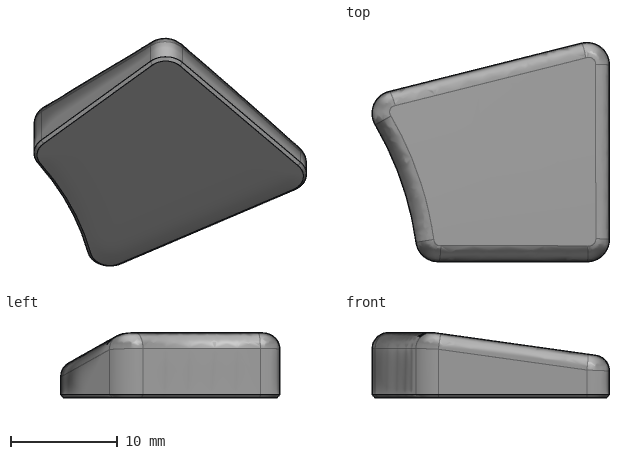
import cadquery as cq
import math

length = 22.25
width = 20.57
corner_radius = 4.25 / 2
rear_edge_angle = math.radians(14.1)

axis_x = -25.22
axis_y = -2.18
concave_radius = 29.6

peak_height = 6.12
top_slope = math.radians(8.0)
top_fillet = 1.5
bottom_chamfer = 0.3


def wall_point(angle):
    """Point of the concave wall at the given angle about its axis."""
    return (
        axis_x + concave_radius * math.cos(angle),
        axis_y + concave_radius * math.sin(angle),
    )


def make_outline_prism(height):
    """Four-sided block with one concave wall and rounded vertical edges."""
    touch_x = length - corner_radius - corner_radius * math.sin(rear_edge_angle)
    touch_y = width - corner_radius + corner_radius * math.cos(rear_edge_angle)
    rear_right_y = touch_y + (length - touch_x) * math.tan(rear_edge_angle)

    front_angle = math.asin(-axis_y / concave_radius)
    axis_to_rear_edge = (
        (touch_y - axis_y) * math.cos(rear_edge_angle)
        - (touch_x - axis_x) * math.sin(rear_edge_angle)
    )
    rear_angle = rear_edge_angle + math.asin(axis_to_rear_edge / concave_radius)

    outline = (
        cq.Workplane("XY")
        .moveTo(*wall_point(front_angle))
        .lineTo(length, 0)
        .lineTo(length, rear_right_y)
        .lineTo(*wall_point(rear_angle))
        .threePointArc(wall_point((front_angle + rear_angle) / 2), wall_point(front_angle))
        .close()
    )
    return outline.extrude(height).edges("|Z").fillet(corner_radius)


def make_top_cone():
    """Solid of revolution below the sloping top face."""
    ball_radius_position = concave_radius + top_fillet
    ball_centre_height = peak_height - top_fillet
    cone_height_there = ball_centre_height + top_fillet / math.cos(top_slope)
    apex_height = cone_height_there + ball_radius_position * math.tan(top_slope)
    base_radius = apex_height / math.tan(top_slope)
    return (
        cq.Workplane("XZ")
        .polyline([(0, 0), (base_radius, 0), (0, apex_height)])
        .close()
        .revolve(360, (0, 0), (0, 1))
        .translate((axis_x, axis_y, 0))
    )


prism_height = 2 * peak_height
body = make_outline_prism(prism_height).intersect(make_top_cone())
body = body.faces("<Z").chamfer(bottom_chamfer)
top_face = body.faces("%CONE").faces(">Z")
result = top_face.edges().fillet(top_fillet)